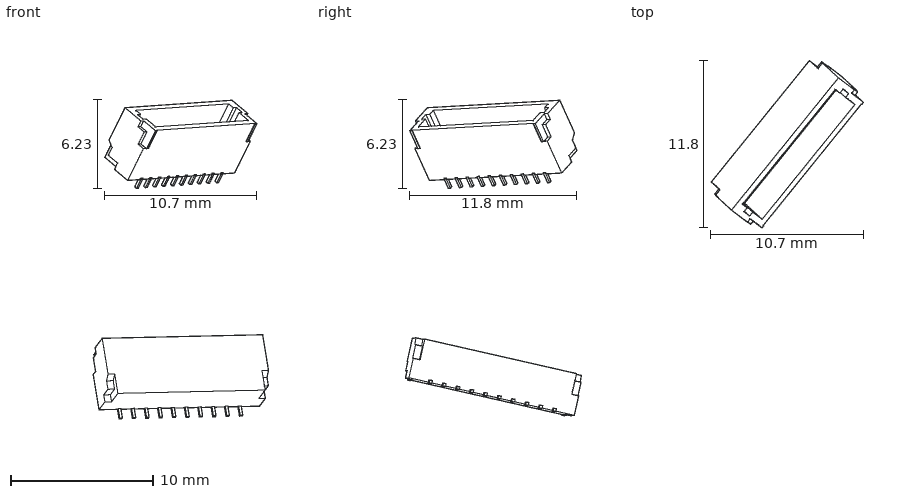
import cadquery as cq


BODY_LENGTH = 12.0
BODY_THICKNESS = 2.91
BODY_HEIGHT = 4.25

CAVITY_LENGTH = 10.4
CAVITY_WIDTH = 2.1
CAVITY_DEPTH = 3.01

KEY_REACH = 0.35
KEY_WIDTH = 0.6
KEY_OFFSET = 0.25

TAB_GAP = 0.31
TAB_PLATE = 0.2
TAB_STANDOFF = 0.05
TAB_ARM_WIDTH = 1.21
TAB_ARM_HEIGHT = 0.5
TAB_STEM_WIDTH = 0.55
TAB_HEIGHT = 1.53

NOTCH_DEPTH = 0.5
NOTCH_HEIGHT = 1.49
NOTCH_SLOPE_DROP = 0.3
NOTCH_STEM_WIDTH = 0.51
NOTCH_FOOT_WIDTH = 1.5
NOTCH_FOOT_HEIGHT = 0.54

PIN_COUNT = 10
PITCHES_PER_BODY = 12
PIN_SIZE = 0.2
PIN_LENGTH = 0.71
PIN_EMBED = 0.13

TILT_X = 33.75
TILT_Y = -2.5
TILT_Z = 51.05

END_X = BODY_LENGTH / 2
FRONT_Y = -BODY_THICKNESS / 2
BACK_Y = BODY_THICKNESS / 2
TOP_Z = BODY_HEIGHT / 2
BOTTOM_Z = -BODY_HEIGHT / 2
SOLDER_Y = FRONT_Y - TAB_STANDOFF


def block(x_range, y_range, z_range):
    """Box spanning the given ranges."""
    size = [high - low for low, high in (x_range, y_range, z_range)]
    corner = (x_range[0], y_range[0], z_range[0])
    return cq.Workplane("XY").box(*size, centered=False).translate(corner)


def end_prism(outline, start_x, end_x):
    """Extrude a (Y, Z) outline along X."""
    return cq.Workplane("YZ", origin=(start_x, 0, 0)).polyline(outline).close().extrude(end_x - start_x)


def on_both_ends(feature):
    """Join a feature with its mirror image at the other end of the body."""
    return feature.union(feature.mirror("YZ"))


def cavity():
    """Rectangular mouth with a key slot at each end."""
    floor_z = TOP_Z - CAVITY_DEPTH
    z_range = (floor_z, TOP_Z)
    mouth = block(
        (-CAVITY_LENGTH / 2, CAVITY_LENGTH / 2),
        (-CAVITY_WIDTH / 2, CAVITY_WIDTH / 2),
        z_range,
    )
    key_x = CAVITY_LENGTH / 2 + KEY_REACH
    key_y = (KEY_OFFSET - KEY_WIDTH / 2, KEY_OFFSET + KEY_WIDTH / 2)
    return mouth.union(block((-key_x, key_x), key_y, z_range))


def tab_outline(outer_y):
    """Seven-shaped outline of a solder tab, reaching out to outer_y."""
    arm_y = FRONT_Y + TAB_ARM_WIDTH
    stem_y = FRONT_Y + TAB_STEM_WIDTH
    arm_z = TOP_Z - TAB_ARM_HEIGHT
    low_z = TOP_Z - TAB_HEIGHT
    return [
        (outer_y, TOP_Z),
        (arm_y, TOP_Z),
        (arm_y, arm_z),
        (stem_y, arm_z),
        (stem_y, low_z),
        (outer_y, low_z),
    ]


def tab_recess():
    """Open part of the recess, outside the solder tab."""
    return end_prism(tab_outline(FRONT_Y), END_X - TAB_GAP, END_X)


def solder_tab():
    """Plate seated in the recess and standing slightly proud of the front face."""
    outer_x = END_X - TAB_GAP
    return end_prism(tab_outline(SOLDER_Y), outer_x - TAB_PLATE, outer_x)


def lower_notch():
    """L-shaped notch in the lower back corner of an end face."""
    stem_y = BACK_Y - NOTCH_STEM_WIDTH
    foot_y = BACK_Y - NOTCH_FOOT_WIDTH
    notch_top_z = BOTTOM_Z + NOTCH_HEIGHT
    foot_z = BOTTOM_Z + NOTCH_FOOT_HEIGHT
    outline = [
        (BACK_Y, BOTTOM_Z),
        (BACK_Y, notch_top_z),
        (stem_y, notch_top_z - NOTCH_SLOPE_DROP),
        (stem_y, foot_z),
        (foot_y, foot_z),
        (foot_y, BOTTOM_Z),
    ]
    return end_prism(outline, END_X - NOTCH_DEPTH, END_X)


def pins():
    """Row of square pins below the body, rooted a little way up its front face.

    Their front faces are level with the solder tabs.
    """
    pitch = BODY_LENGTH / PITCHES_PER_BODY
    row = cq.Workplane("XY")
    for index in range(PIN_COUNT):
        center_x = (index - (PIN_COUNT - 1) / 2) * pitch
        pin = block(
            (center_x - PIN_SIZE / 2, center_x + PIN_SIZE / 2),
            (SOLDER_Y, SOLDER_Y + PIN_SIZE),
            (BOTTOM_Z - PIN_LENGTH, BOTTOM_Z + PIN_EMBED),
        )
        row = row.add(pin)
    return row.combine()


body = block((-END_X, END_X), (FRONT_Y, BACK_Y), (BOTTOM_Z, TOP_Z))
body = body.cut(cavity())
body = body.cut(on_both_ends(tab_recess()))
body = body.cut(on_both_ends(lower_notch()))
body = body.union(on_both_ends(solder_tab()))
body = body.union(pins())

result = (
    body.rotate((0, 0, 0), (1, 0, 0), TILT_X)
    .rotate((0, 0, 0), (0, 1, 0), TILT_Y)
    .rotate((0, 0, 0), (0, 0, 1), TILT_Z)
)